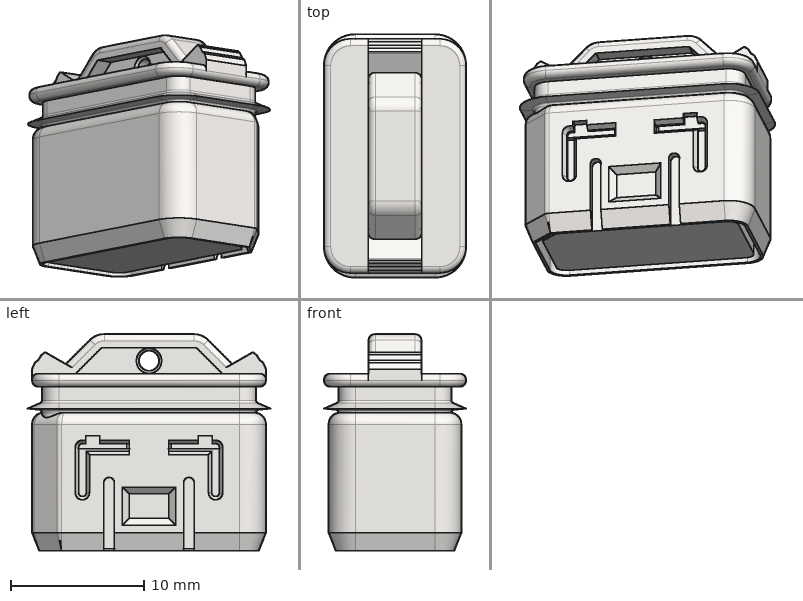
import cadquery as cq
import math

total_height = 16.3
bottom_taper_height = 1.38
shoulder_radius = 0.9
body_top = 10.4
flange_bottom = 12.33
flange_thickness = 1.0
flange_top = flange_bottom + flange_thickness
flange_middle = flange_bottom + flange_thickness / 2

body_x = 10.0
body_y = 17.6
corner_radius = 2.0
neck_inset = 0.75
flange_x = 10.7
flange_edge_radius = 0.499 * flange_thickness
bottom_inset = 0.55
key_chamfer = 2.0
key_edge_radius = 0.5

lip_overhang = 1.1
lip_tip_height = 10.69
lip_top_rise = 0.49
lip_bottom_drop = 0.11
lip_root_radius = 0.2

wall = 0.75
gap_width = 0.5
gap_top = 7.66
core_bottom = 0.18

recess_depth = 0.5
pocket_y = 4.0
pocket_z = 2.86
pocket_centre_z = 3.37
pocket_side_angle = 45
tab_slot_width = 0.8
tab_slot_offset = 3.0
tab_slot_top = 5.52

window_width = 1.07
window_outer_y = 5.54
window_inner_y = 1.47
window_top = 8.31
window_bottom = 3.84
window_corner_radius = 0.53
window_draft = 0.25
window_floor_chamfer = 0.22
notch_inner_y = 3.69
notch_outer_y = 4.74
notch_top = 8.66

handle_width = 4.0
arch_half_length = 4.0
arch_bend_radius = 1.5
arch_edge_radius = 0.5
web_thickness = 1.3
web_margin = 1.04
hole_diameter = 1.5
hole_chamfer = 0.2
hole_height = 14.29
arch_slope = math.radians(45)
catch_slope = math.radians(30)
catch_side_top = 13.66
catch_shoulder_y = 8.58
catch_shoulder_z = 14.15
catch_notch_y = 8.33
catch_notch_z = 14.34
catch_tip_y = 8.08
catch_tip_z = 14.73
catch_peak_y = 7.82
catch_peak_z = 14.92
catch_round_y = 7.7
catch_round_z = 14.88
catch_round_bulge = 0.01

cut_margin = 1.0
selection_margin = 0.01
face_x = -body_x / 2
body_half_y = body_y / 2


def rounded_block(size_x, size_y, radius, bottom, top):
    """Upright block with rounded vertical edges."""
    block = cq.Workplane("XY").workplane(offset=bottom).rect(size_x, size_y).extrude(top - bottom)
    return block.edges("|Z").fillet(radius)


def body_block(bottom, top):
    """Block with three rounded corners and a chamfered key corner at -X, +Y."""
    block = cq.Workplane("XY").workplane(offset=bottom).rect(body_x, body_y).extrude(top - bottom)
    block = block.edges("|Z and (>X or <Y)").fillet(corner_radius)
    block = block.edges("|Z and <X and >Y").chamfer(key_chamfer)
    return block


def rounded_key_edges(block):
    """Soften the two vertical edges of the key corner."""
    middle = (face_x + key_chamfer / 2, body_half_y - key_chamfer / 2)
    reach = key_chamfer / 2 + selection_margin
    selector = cq.selectors.BoxSelector(
        (middle[0] - reach, middle[1] - reach, -cut_margin),
        (middle[0] + reach, middle[1] + reach, total_height),
    )
    return block.edges("|Z").edges(selector).fillet(key_edge_radius)


def make_shell():
    """Keyed body with a rounded shoulder and a tapered foot."""
    upper = rounded_key_edges(body_block(bottom_taper_height, body_top))
    foot_outline = upper.faces("<Z").val().outerWire()
    upper = upper.faces(">Z").edges().fillet(shoulder_radius)
    taper = math.degrees(math.atan2(bottom_inset, bottom_taper_height))
    foot = cq.Solid.extrudeLinear(foot_outline, [], cq.Vector(0, 0, -bottom_taper_height), taper)
    return upper.union(cq.Workplane(foot))


def inset_column(inset, bottom):
    """Column with the body outline moved inward, from a given height up to the gap ceiling."""
    outline = body_block(bottom, gap_top).faces("<Z").val().outerWire().offset2D(-inset)[0]
    return cq.Workplane(cq.Solid.extrudeLinear(outline, [], cq.Vector(0, 0, gap_top - bottom)))


def make_gap():
    """Ring-shaped gap that separates an even outer wall from the slightly shorter core."""
    return inset_column(wall, 0).cut(inset_column(wall + gap_width, core_bottom))


def make_neck():
    """Neck carrying the thin flared sealing lip, blended with small root radii."""
    neck_x = body_x - 2 * neck_inset
    neck_y = body_y - 2 * neck_inset
    neck_radius = corner_radius - neck_inset
    neck = rounded_block(neck_x, neck_y, neck_radius, gap_top, flange_middle)
    lip_block = rounded_block(
        neck_x + 2 * lip_overhang,
        neck_y + 2 * lip_overhang,
        neck_radius + lip_overhang,
        lip_tip_height,
        lip_tip_height + lip_top_rise,
    )
    lip_outline = lip_block.faces("<Z").val().outerWire()
    for rise in (lip_top_rise, -lip_bottom_drop):
        taper = math.degrees(math.atan2(lip_overhang, abs(rise)))
        half_lip = cq.Solid.extrudeLinear(lip_outline, [], cq.Vector(0, 0, rise), taper)
        neck = neck.union(cq.Workplane(half_lip))
    for root_height in (lip_tip_height + lip_top_rise, lip_tip_height - lip_bottom_drop):
        root = cq.selectors.BoxSelector(
            (-neck_x, -neck_y, root_height - selection_margin),
            (neck_x, neck_y, root_height + selection_margin),
        )
        neck = neck.edges(root).fillet(lip_root_radius)
    return neck


def make_flange():
    """Round-edged flange on top of the neck."""
    flange = rounded_block(flange_x, body_y, corner_radius, flange_bottom, flange_top)
    return flange.faces("<Z or >Z").edges().fillet(flange_edge_radius)


def make_arch():
    """Bevelled arch of the handle, with rounded outer edges."""
    foot_half_length = arch_half_length + (total_height - flange_bottom) / math.tan(arch_slope)
    arch = (
        cq.Workplane("YZ")
        .polyline(
            [
                (-foot_half_length, flange_bottom),
                (foot_half_length, flange_bottom),
                (arch_half_length, total_height),
                (-arch_half_length, total_height),
            ]
        )
        .close()
        .extrude(handle_width / 2, both=True)
    )
    arch = arch.faces(">Z").edges("|X").fillet(arch_bend_radius)
    arch = arch.faces(">X or <X").edges("not <Z").fillet(arch_edge_radius)
    above_flange = cq.Workplane("XY").box(
        handle_width, body_y, total_height - flange_bottom, centered=(True, True, False)
    )
    return arch.intersect(above_flange.translate((0, 0, flange_middle)))


def make_catch():
    """Toothed catch at the +Y end of the handle."""
    inner_y = catch_round_y - (catch_round_z - flange_middle) / math.tan(catch_slope)
    rounding_middle = (
        (catch_peak_y + catch_round_y) / 2,
        (catch_peak_z + catch_round_z) / 2 + catch_round_bulge,
    )
    return (
        cq.Workplane("YZ")
        .moveTo(inner_y, flange_middle)
        .lineTo(body_half_y, flange_middle)
        .lineTo(body_half_y, catch_side_top)
        .lineTo(catch_shoulder_y, catch_shoulder_z)
        .lineTo(catch_notch_y, catch_notch_z)
        .lineTo(catch_tip_y, catch_tip_z)
        .lineTo(catch_peak_y, catch_peak_z)
        .threePointArc(rounding_middle, (catch_round_y, catch_round_z))
        .close()
        .extrude(handle_width / 2, both=True)
    )


def make_web_recess():
    """Recess under the arch on the +X side; the web stays between it and its mirror image."""
    half_top = arch_half_length - web_margin * math.tan(arch_slope / 2)
    top = total_height - web_margin
    half_bottom = half_top + (top - flange_top) / math.tan(arch_slope)
    return (
        cq.Workplane("YZ")
        .workplane(offset=web_thickness / 2)
        .polyline(
            [
                (-half_bottom, flange_top),
                (half_bottom, flange_top),
                (half_top, top),
                (-half_top, top),
            ]
        )
        .close()
        .extrude(handle_width)
    )


def make_handle():
    """Arch and catches with recessed sides and a chamfered cross hole."""
    catch = make_catch()
    handle = make_arch().union(catch).union(catch.mirror("XZ"))
    recess = make_web_recess()
    handle = handle.cut(recess).cut(recess.mirror("YZ"))
    hole = (
        cq.Workplane("YZ")
        .center(0, hole_height)
        .circle(hole_diameter / 2)
        .extrude(web_thickness / 2, both=True)
    )
    handle = handle.cut(hole)
    for side in (1, -1):
        countersink = cq.Solid.makeCone(
            hole_diameter / 2 + hole_chamfer,
            hole_diameter / 2,
            hole_chamfer,
            cq.Vector(side * web_thickness / 2, 0, hole_height),
            cq.Vector(-side, 0, 0),
        )
        handle = handle.cut(cq.Workplane(countersink))
    return handle


def face_plane(depth=0.0):
    """Plane parallel to the -X face at a depth; its local axes are -Y, Z and -X."""
    return cq.Workplane(cq.Plane(origin=(face_x + depth, 0, 0), xDir=(0, -1, 0), normal=(-1, 0, 0)))


def make_pocket():
    """Rectangular pocket with 45 degree sides."""
    mouth = face_plane().center(0, pocket_centre_z).rect(pocket_y, pocket_z)
    return mouth.extrude(-recess_depth, taper=pocket_side_angle)


def make_tab_slot(side):
    """Round-topped slot beside the centre tab, open at the bottom and into the gap."""
    radius = tab_slot_width / 2
    spring_z = tab_slot_top - radius
    return (
        face_plane()
        .moveTo(side * tab_slot_offset - radius, -cut_margin)
        .lineTo(side * tab_slot_offset - radius, spring_z)
        .threePointArc(
            (side * tab_slot_offset, tab_slot_top),
            (side * tab_slot_offset + radius, spring_z),
        )
        .lineTo(side * tab_slot_offset + radius, -cut_margin)
        .close()
        .extrude(-wall - gap_width / 2)
    )


def l_outline(inset, depth):
    """L-shaped outline on the -Y side, with a rounded outer corner and a round lower end."""
    outer = window_outer_y - inset
    inner = window_outer_y - window_width + inset
    top = window_top - inset
    step = window_top - window_width + inset
    corner = window_corner_radius - inset
    end_radius = window_width / 2 - inset
    end_z = window_bottom + window_width / 2
    corner_offset = corner * (1 - math.sqrt(0.5))
    return (
        face_plane(depth)
        .moveTo(window_inner_y, top)
        .lineTo(outer - corner, top)
        .threePointArc((outer - corner_offset, top - corner_offset), (outer, top - corner))
        .lineTo(outer, end_z)
        .threePointArc((outer - end_radius, end_z - end_radius), (inner, end_z))
        .lineTo(inner, step)
        .lineTo(window_inner_y, step)
        .close()
    )


def make_window():
    """L-shaped window on the -Y side: drafted outside, straight inside, reaching the gap."""
    outer_wire = l_outline(0, 0).wire().val()
    inner_wire = l_outline(window_draft, recess_depth).wire().val()
    window = cq.Workplane(cq.Solid.makeLoft([outer_wire, inner_wire], True))
    opening = l_outline(window_draft, recess_depth).extrude(-(wall - recess_depth))
    window = window.union(opening)
    notch = (
        face_plane()
        .moveTo(notch_inner_y, gap_top)
        .lineTo(notch_outer_y, gap_top)
        .lineTo(notch_outer_y, notch_top)
        .lineTo(notch_inner_y, notch_top)
        .close()
        .extrude(-wall)
    )
    floor_x = face_x + wall
    floor_chamfer = (
        cq.Workplane("XY")
        .workplane(offset=gap_top)
        .moveTo(floor_x, -window_inner_y)
        .lineTo(floor_x, -window_inner_y - window_floor_chamfer)
        .lineTo(floor_x + window_floor_chamfer, -window_inner_y)
        .close()
        .extrude(window_top - window_draft - gap_top)
    )
    return window.union(notch).union(floor_chamfer)


result = make_shell().union(make_neck()).union(make_flange()).union(make_handle())
result = result.cut(make_gap()).cut(make_pocket())
window = make_window()
result = result.cut(window).cut(window.mirror("XZ"))
for side in (1, -1):
    result = result.cut(make_tab_slot(side))